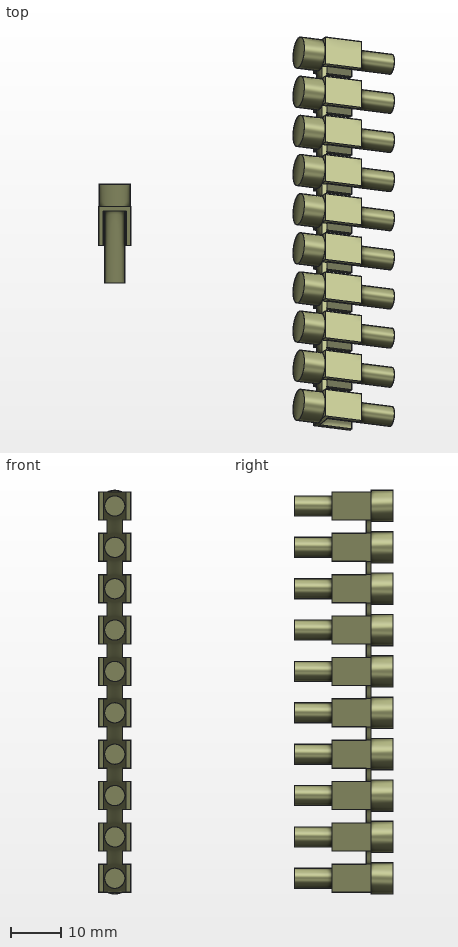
import cadquery as cq

clip_count = 10
overall_height = 80

clip_width = 6.4
clip_height = 5.6
clip_depth = 7.8
sheet_thickness = 1.0
web_width = 3.1

head_diameter = 6.2
head_length = 4.4
pin_diameter = 4.0
pin_reach = 7.4

row_length = overall_height - head_diameter
clip_pitch = row_length / (clip_count - 1)

arm_tip_y = -clip_depth
pin_tip_y = arm_tip_y - pin_reach


def cylinder_along_y(diameter, y_start, y_end):
    """Cylinder on the Y axis between two Y positions."""
    return (
        cq.Workplane("XZ", origin=(0, y_end, 0))
        .circle(diameter / 2)
        .extrude(y_end - y_start)
    )


def make_clip():
    """U-shaped channel, open towards -Y and at both Z ends."""
    block = cq.Workplane("XY").box(
        clip_width, clip_depth, clip_height, centered=(True, False, True)
    ).translate((0, arm_tip_y, 0))
    gap = cq.Workplane("XY").box(
        clip_width - 2 * sheet_thickness,
        clip_depth - sheet_thickness,
        clip_height,
        centered=(True, False, True),
    ).translate((0, arm_tip_y, 0))
    return block.cut(gap)


def make_station():
    """One clip with its head behind and its pin through the gap."""
    head = cylinder_along_y(head_diameter, 0, head_length)
    pin = cylinder_along_y(pin_diameter, pin_tip_y, 0)
    return make_clip().union(head).union(pin)


def make_web():
    """Flat strip joining the backs of all the clips."""
    return cq.Workplane("XY").box(
        web_width, sheet_thickness, row_length, centered=(True, False, True)
    ).translate((0, -sheet_thickness, 0))


station = make_station()
result = make_web()
for index in range(clip_count):
    station_z = index * clip_pitch - row_length / 2
    result = result.union(station.translate((0, 0, station_z)))